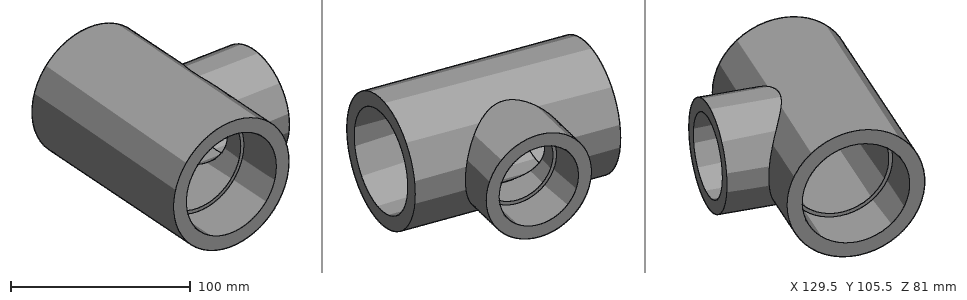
import cadquery as cq

run_length = 129.5
run_diameter = 81.0
run_bore = 58.7
run_socket_diameter = 63.1
run_socket_depth = 29.7

branch_reach = 65.0
branch_diameter = 66.3
branch_socket_diameter = 50.0
socket_step = (run_socket_diameter - run_bore) / 2
branch_bore = branch_socket_diameter - 2 * socket_step
branch_socket_depth = 25.9


def run_cylinder(diameter, start, length):
    """Cylinder on the X axis, starting at x = start."""
    return cq.Workplane("YZ").workplane(offset=start).circle(diameter / 2).extrude(length)


def branch_cylinder(diameter, start, length):
    """Cylinder on the Y axis, starting at y = start and growing toward +Y."""
    return cq.Workplane("XZ").workplane(offset=-start).circle(diameter / 2).extrude(-length)


body = run_cylinder(run_diameter, -run_length / 2, run_length)
body = body.union(branch_cylinder(branch_diameter, 0, branch_reach))

body = body.cut(run_cylinder(run_bore, -run_length / 2, run_length))
for socket_start in (-run_length / 2, run_length / 2 - run_socket_depth):
    body = body.cut(run_cylinder(run_socket_diameter, socket_start, run_socket_depth))

body = body.cut(branch_cylinder(branch_bore, 0, branch_reach))
branch_socket_start = branch_reach - branch_socket_depth
result = body.cut(branch_cylinder(branch_socket_diameter, branch_socket_start, branch_socket_depth))